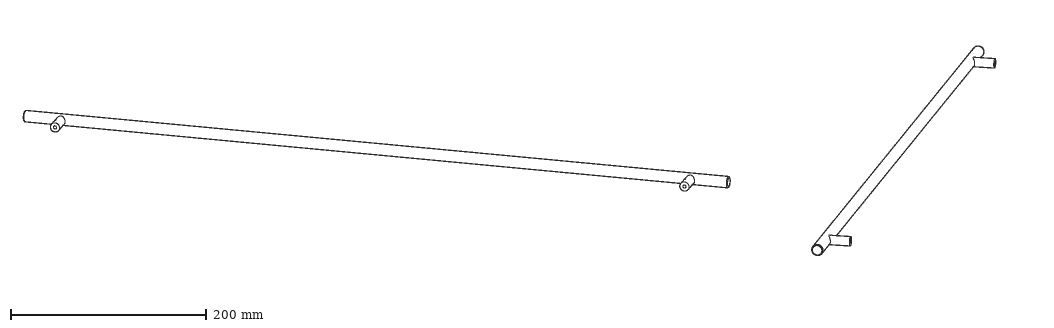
import cadquery as cq

bar_length = 752.0
bar_diameter = 12.0
end_chamfer = 1.0
post_spacing = 672.0
post_diameter = 10.0
projection = 32.0
screw_hole_diameter = 3.3
screw_hole_depth = 15.0

bar_radius = bar_diameter / 2
mounting_face_y = bar_radius - projection


def make_bar():
    """Round bar along X with chamfered ends."""
    bar = cq.Workplane("YZ").circle(bar_radius).extrude(bar_length / 2, both=True)
    return bar.faces("<X or >X").chamfer(end_chamfer)


def cylinder_from_mounting_face(x, diameter, length):
    """Cylinder running from the mounting face toward the bar (+Y)."""
    start = cq.Vector(x, mounting_face_y, 0)
    return cq.Workplane(cq.Solid.makeCylinder(diameter / 2, length, start, cq.Vector(0, 1, 0)))


result = make_bar()
for post_x in (-post_spacing / 2, post_spacing / 2):
    post = cylinder_from_mounting_face(post_x, post_diameter, -mounting_face_y)
    screw_hole = cylinder_from_mounting_face(post_x, screw_hole_diameter, screw_hole_depth)
    result = result.union(post).cut(screw_hole)